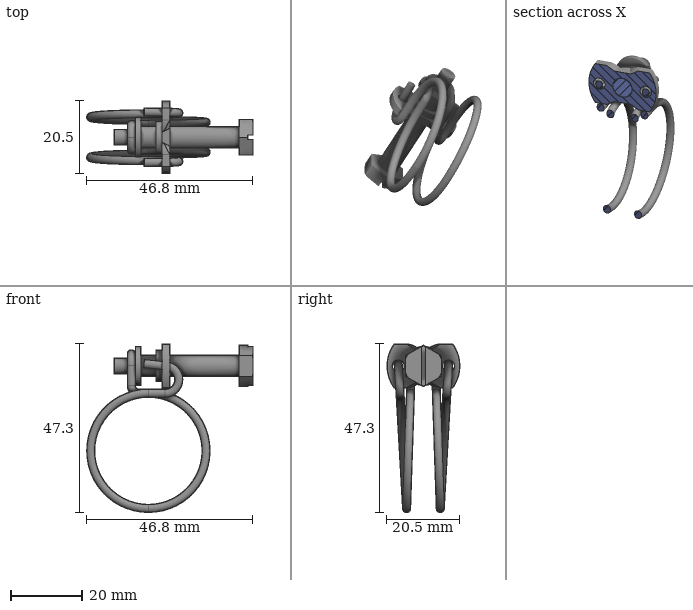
import cadquery as cq
import math

AXIS_Z = 23.85
SHANK_DIA = 6.0
TIP_DIA = 4.45
TIP_END_X = -9.65
COLLAR_DIA = 11.0
COLLAR_LEFT_X = -3.65
COLLAR_RIGHT_X = -2.1
HEAD_LEFT_X = 25.45
HEAD_RIGHT_X = 29.45
HEAD_CORNER_DIA = 11.65
HEAD_FACE_DIA = 10.85
HEAD_CHAMFER_LENGTH = 0.3
SLOT_WIDTH = 1.15
SLOT_DEPTH = 1.45

PLATE_LEFT_X = 3.9
PLATE_THICKNESS = 2.2
PLATE_WIDTH = 20.5
PLATE_HALF_HEIGHT = 6.15
PLATE_CORNER_Y = 8.25
NOTCH_START_Y = 4.85
NOTCH_SHOULDER_RADIUS = 4.95
NOTCH_DEPTH = 1.33
NOTCH_FRONT_SLANT = 0.2
FLARE_FLOOR_Y = 2.5
BOSS_DIA = 8.85
BOSS_LENGTH = 1.8
WIRE_HOLE_DIA = 3.3
WIRE_HOLE_Y = 7.05

WIRE_DIA = 2.25
RING_RADIUS = 16.2
LOOP_X = COLLAR_LEFT_X - WIRE_DIA / 2
LOOP_RADIUS = 3.4
LEG_BEND_RADIUS = 2.1
RING_START_Y = 3.65
RING_BOTTOM_Y = 4.75
RING_END_Y = 6.6
HOOK_START_X = 4.7
HOOK_RADIUS = 3.85
HOOK_ANGLE = 174.0
TAIL_Y = WIRE_HOLE_Y
TAIL_LENGTH = 6.35


def x_cylinder(diameter, start_x, end_x):
    """Cylinder on the screw axis between two X positions."""
    plane = cq.Workplane("YZ", origin=(start_x, 0, AXIS_Z))
    return plane.circle(diameter / 2).extrude(end_x - start_x)


def make_head():
    """Hexagon head with chamfered corners and a screwdriver slot."""
    length = HEAD_RIGHT_X - HEAD_LEFT_X
    hexagon = (
        cq.Workplane("YZ", origin=(HEAD_LEFT_X, 0, AXIS_Z))
        .transformed(rotate=(0, 0, 90))
        .polygon(6, HEAD_CORNER_DIA)
        .extrude(length)
    )
    chamfer_drop = (HEAD_CORNER_DIA - HEAD_FACE_DIA) / 2
    envelope = x_cylinder(HEAD_CORNER_DIA, HEAD_LEFT_X, HEAD_RIGHT_X)
    envelope = envelope.faces(">X").chamfer(HEAD_CHAMFER_LENGTH, chamfer_drop)
    slot = cq.Workplane("XY").box(2 * SLOT_DEPTH, SLOT_WIDTH, 2 * HEAD_CORNER_DIA)
    return hexagon.intersect(envelope).cut(slot.translate((HEAD_RIGHT_X, 0, AXIS_Z)))


def make_screw():
    tip = x_cylinder(TIP_DIA, TIP_END_X, COLLAR_LEFT_X)
    collar = x_cylinder(COLLAR_DIA, COLLAR_LEFT_X, COLLAR_RIGHT_X)
    shank = x_cylinder(SHANK_DIA, COLLAR_RIGHT_X, HEAD_LEFT_X)
    return tip.union(collar).union(shank).union(make_head())


def plate_blank():
    """Plate outline with rounded ends."""
    return (
        cq.Workplane("YZ", origin=(PLATE_LEFT_X, 0, AXIS_Z))
        .moveTo(-PLATE_CORNER_Y, -PLATE_HALF_HEIGHT)
        .lineTo(PLATE_CORNER_Y, -PLATE_HALF_HEIGHT)
        .threePointArc((PLATE_WIDTH / 2, 0), (PLATE_CORNER_Y, PLATE_HALF_HEIGHT))
        .lineTo(-PLATE_CORNER_Y, PLATE_HALF_HEIGHT)
        .threePointArc((-PLATE_WIDTH / 2, 0), (-PLATE_CORNER_Y, -PLATE_HALF_HEIGHT))
        .close()
        .extrude(PLATE_THICKNESS)
    )


def notch_cutter():
    """Notch in the top edge: rounded shoulders, a flat floor and sides that flare toward +X."""
    floor_z = PLATE_HALF_HEIGHT - NOTCH_DEPTH
    drop = NOTCH_DEPTH / 2
    mid_y = NOTCH_START_Y - math.sqrt(drop * (2 * NOTCH_SHOULDER_RADIUS - drop))
    floor_y = NOTCH_START_Y - math.sqrt(NOTCH_DEPTH * (2 * NOTCH_SHOULDER_RADIUS - NOTCH_DEPTH))
    face = cq.Workplane("YZ", origin=(PLATE_LEFT_X, 0, AXIS_Z))
    shoulders = (
        face.moveTo(NOTCH_START_Y, PLATE_HALF_HEIGHT)
        .threePointArc((mid_y, PLATE_HALF_HEIGHT - drop), (floor_y, floor_z))
        .lineTo(-floor_y, floor_z)
        .threePointArc((-mid_y, PLATE_HALF_HEIGHT - drop), (-NOTCH_START_Y, PLATE_HALF_HEIGHT))
        .close()
        .extrude(PLATE_THICKNESS)
    )

    def trapezoid(floor_half, top_half):
        return [
            (-floor_half, floor_z),
            (floor_half, floor_z),
            (top_half, PLATE_HALF_HEIGHT),
            (-top_half, PLATE_HALF_HEIGHT),
        ]

    flare = (
        face.polyline(trapezoid(floor_y, floor_y + NOTCH_FRONT_SLANT))
        .close()
        .workplane(offset=PLATE_THICKNESS)
        .polyline(trapezoid(FLARE_FLOOR_Y, NOTCH_START_Y))
        .close()
        .loft(ruled=True)
    )
    return shoulders.union(flare)


def make_nut_plate():
    plate = plate_blank()
    top_notch = notch_cutter()
    bottom_notch = top_notch.rotate((0, 0, AXIS_Z), (1, 0, AXIS_Z), 180)
    plate = plate.cut(top_notch).cut(bottom_notch)
    plate = plate.union(x_cylinder(BOSS_DIA, PLATE_LEFT_X - BOSS_LENGTH, PLATE_LEFT_X))
    wire_holes = (
        cq.Workplane("YZ", origin=(PLATE_LEFT_X, 0, AXIS_Z))
        .pushPoints([(-WIRE_HOLE_Y, 0), (WIRE_HOLE_Y, 0)])
        .circle(WIRE_HOLE_DIA / 2)
        .extrude(PLATE_THICKNESS)
    )
    screw_hole = x_cylinder(SHANK_DIA, PLATE_LEFT_X - BOSS_LENGTH, PLATE_LEFT_X + PLATE_THICKNESS)
    return plate.cut(wire_holes).cut(screw_hole)


def half_wire_path():
    """Centre line from the top of the loop to the tail, on the +Y side, tangent at every joint."""
    line = cq.Edge.makeLine
    tangent_arc = cq.Edge.makeTangentArc
    along_x = cq.Vector(1, 0, 0)
    along_y = cq.Vector(0, 1, 0)

    leg_height = AXIS_Z - RING_RADIUS
    leg_reach = math.hypot(RING_START_Y, leg_height)
    lean = math.acos(LOOP_RADIUS / leg_reach) - math.atan2(leg_height, RING_START_Y)
    leg_down = cq.Vector(0, math.sin(lean), -math.cos(lean))
    loop_top = cq.Vector(LOOP_X, 0, AXIS_Z + LOOP_RADIUS)
    leg_top = cq.Vector(LOOP_X, LOOP_RADIUS * math.cos(lean), AXIS_Z + LOOP_RADIUS * math.sin(lean))
    bend_end = cq.Vector(LOOP_X + LEG_BEND_RADIUS, RING_START_Y, RING_RADIUS)
    leg_bottom = bend_end - (along_x + leg_down) * LEG_BEND_RADIUS

    ring_start = cq.Vector(0, RING_START_Y, RING_RADIUS)
    ring_bottom = cq.Vector(0, RING_BOTTOM_Y, -RING_RADIUS)
    ring_end = cq.Vector(0, RING_END_Y, RING_RADIUS)

    hook_turn = math.radians(HOOK_ANGLE)
    hook_start = cq.Vector(HOOK_START_X, RING_END_Y, RING_RADIUS)
    hook_end = cq.Vector(
        HOOK_START_X + HOOK_RADIUS * math.sin(hook_turn),
        TAIL_Y,
        RING_RADIUS + HOOK_RADIUS * (1 - math.cos(hook_turn)),
    )
    hook = tangent_arc(hook_start, along_x, hook_end)
    tail_end = hook_end + hook.tangentAt(1) * TAIL_LENGTH
    return [
        tangent_arc(loop_top, along_y, leg_top),
        line(leg_top, leg_bottom),
        tangent_arc(leg_bottom, leg_down, bend_end),
        line(bend_end, ring_start),
        tangent_arc(ring_start, along_x, ring_bottom),
        tangent_arc(ring_bottom, along_x * -1, ring_end),
        line(ring_end, hook_start),
        hook,
        line(hook_end, tail_end),
    ]


def make_wire_clip():
    """Round wire swept along one half, then mirrored across the XZ plane."""
    path = cq.Workplane("XY").newObject([cq.Wire.assembleEdges(half_wire_path())])
    half = (
        cq.Workplane("XZ", origin=(LOOP_X, 0, AXIS_Z + LOOP_RADIUS))
        .circle(WIRE_DIA / 2)
        .sweep(path)
    )
    return half.union(half.mirror("XZ"))


screw = make_screw()
nut_plate = make_nut_plate()
wire_clip = make_wire_clip()

result = cq.Compound.makeCompound([screw.val(), nut_plate.val(), wire_clip.val()])